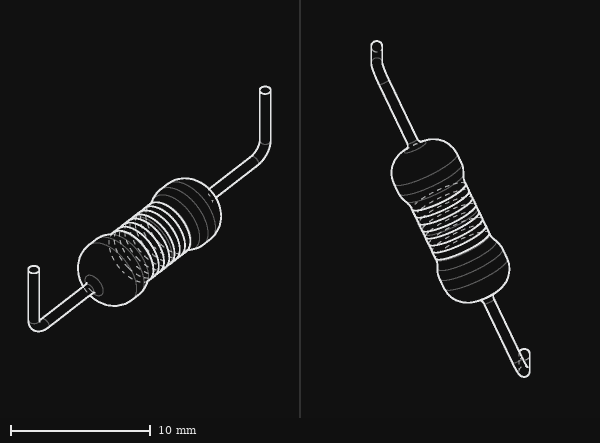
import cadquery as cq
import math

overall_length = 25.8
lead_radius = 0.8 / 2
lead_top = 6.1
bend_radius = 1.19

cap_radius = 5.0 / 2
cap_outer_edge = 4.25
cap_inner_edge = 3.45
cap_round = 1.75
neck_fillet = 0.5

waist_radius = 4.25 / 2
waist_half_length = 2.06
band_radius = 4.28 / 2
band_width = 0.57
band_pitch = 2 * band_width
band_count = 4

lead_y = overall_length / 2 - lead_radius

round_centre_radius = cap_radius - cap_round
fillet_centre_radius = lead_radius + neck_fillet
centre_rise = fillet_centre_radius - round_centre_radius
centre_gap = math.sqrt((cap_round + neck_fillet) ** 2 - centre_rise ** 2)
neck_end = cap_outer_edge + centre_gap
contact_angle = math.atan2(centre_rise, centre_gap)


def arc_point(centre_radius, centre_y, arc_radius, angle):
    """Point in (radius, y), with the angle measured from +Y towards larger radius."""
    return (
        centre_radius + arc_radius * math.sin(angle),
        centre_y + arc_radius * math.cos(angle),
    )


def make_half_body():
    """Revolve the +Y half: waist, shoulder, rounded cap and neck."""
    shoulder_mid = (
        (waist_radius + cap_radius) / 2,
        (waist_half_length + cap_inner_edge) / 2,
    )
    round_mid = arc_point(
        round_centre_radius, cap_outer_edge, cap_round, (math.pi / 2 + contact_angle) / 2
    )
    contact = arc_point(round_centre_radius, cap_outer_edge, cap_round, contact_angle)
    return (
        cq.Workplane("XY")
        .lineTo(waist_radius, 0)
        .lineTo(waist_radius, waist_half_length)
        .tangentArcPoint(shoulder_mid, relative=False)
        .tangentArcPoint((cap_radius, cap_inner_edge), relative=False)
        .lineTo(cap_radius, cap_outer_edge)
        .threePointArc(round_mid, contact)
        .tangentArcPoint((lead_radius, neck_end), relative=False)
        .lineTo(0, neck_end)
        .close()
        .revolve(360, (0, 0, 0), (0, 1, 0))
    )


def make_lead():
    """Sweep the +Y lead from the body centre out through its upward bend."""
    path = (
        cq.Workplane("YZ")
        .lineTo(lead_y - bend_radius, 0)
        .tangentArcPoint((lead_y, bend_radius), relative=False)
        .lineTo(lead_y, lead_top)
    )
    return cq.Workplane("XZ").circle(lead_radius).sweep(path)


def make_band(centre_y):
    """Slightly raised colour band around the waist."""
    return (
        cq.Workplane("XZ", origin=(0, centre_y + band_width / 2, 0))
        .circle(band_radius)
        .extrude(band_width)
    )


half = make_half_body().union(make_lead())
result = half.union(half.mirror("XZ")).clean()
for index in range(band_count):
    band_y = (index - (band_count - 1) / 2) * band_pitch
    result = result.union(make_band(band_y))